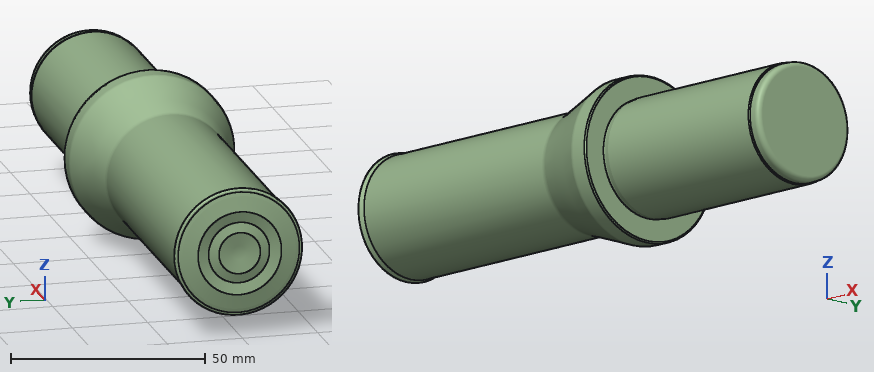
import cadquery as cq
import math

overall_length = 155.0
cutting_diameter = 34.0
body_diameter = 33.0
collar_diameter = 44.0
shank_diameter = 32.0
relief_diameter = 31.5

head_length = 3.1
outer_ridge_radius = 11.1
valley_radius = 8.1
inner_ridge_radius = 5.5
flank_angle = 11.0
facet_inner_radius = 15.1
facet_angle = 14.0
valley_angle = 14.0
centre_angle = 8.0
corner_radius = 0.7

collar_end = 95.0
collar_width = 5.3
cone_angle = 18.0
cone_foot_radius = 4.5
cone_top_radius = 3.0
collar_chamfer = 0.4
neck_width = 0.7
neck_taper = 1.4
pilot_length = 3.2
pilot_step = 0.4
pilot_end_radius = 1.4


def rise(run, angle):
    """Change in height over a run at an angle in degrees."""
    return run * math.tan(math.radians(angle))


def make_cutting_head():
    """Revolved cutting profile; its flat back seats on the tool body."""
    rim = cutting_diameter / 2
    back_radius = body_diameter / 2
    angle = math.radians(facet_angle)

    valley_x = rise(outer_ridge_radius - valley_radius, valley_angle)
    inner_ridge_x = valley_x - rise(valley_radius - inner_ridge_radius, valley_angle)
    centre_x = inner_ridge_x + rise(inner_ridge_radius, centre_angle)

    facet_x = rise(facet_inner_radius - outer_ridge_radius, flank_angle)

    arc_centre_radius = rim - corner_radius
    arc_start_radius = arc_centre_radius - corner_radius * math.sin(angle)
    arc_start_x = facet_x + rise(arc_start_radius - facet_inner_radius, facet_angle)
    arc_centre_x = arc_start_x + corner_radius * math.cos(angle)

    back_run = head_length - arc_centre_x
    back_drop = back_radius - arc_centre_radius
    side_span = math.hypot(back_run, back_drop)
    side_angle = math.atan2(back_drop, back_run) + math.acos(corner_radius / side_span)
    arc_end = (
        arc_centre_x + corner_radius * math.cos(side_angle),
        arc_centre_radius + corner_radius * math.sin(side_angle),
    )

    profile = (
        cq.Workplane("XY")
        .moveTo(head_length, 0)
        .lineTo(centre_x, 0)
        .lineTo(inner_ridge_x, inner_ridge_radius)
        .lineTo(valley_x, valley_radius)
        .lineTo(0, outer_ridge_radius)
        .lineTo(facet_x, facet_inner_radius)
        .lineTo(arc_start_x, arc_start_radius)
        .threePointArc((arc_centre_x, rim), arc_end)
        .lineTo(head_length, back_radius)
        .close()
    )
    return profile.revolve(360, (0, 0, 0), (1, 0, 0))


def make_tool_body():
    """Cylinder, cone, collar and shank in one revolved profile."""
    body_radius = body_diameter / 2
    collar_radius = collar_diameter / 2
    shank_radius = shank_diameter / 2
    relief_radius = relief_diameter / 2

    cone_slope = math.radians(cone_angle)
    cone_end = collar_end - collar_width
    cone_start = cone_end - (collar_radius - body_radius) / math.tan(cone_slope)
    neck_end = collar_end + neck_width
    shank_start = neck_end + neck_taper
    pilot_start = overall_length - pilot_length

    foot_tangent = cone_foot_radius * math.tan(cone_slope / 2)
    top_tangent = cone_top_radius * math.tan(cone_slope / 2)
    along_x = math.cos(cone_slope)
    along_r = math.sin(cone_slope)
    foot_end = (cone_start + foot_tangent * along_x, body_radius + foot_tangent * along_r)

    profile = (
        cq.Workplane("XY")
        .moveTo(head_length, 0)
        .lineTo(head_length, body_radius)
        .lineTo(cone_start - foot_tangent, body_radius)
        .tangentArcPoint(foot_end, relative=False)
        .lineTo(cone_end - top_tangent * along_x, collar_radius - top_tangent * along_r)
        .tangentArcPoint((cone_end + top_tangent, collar_radius), relative=False)
        .lineTo(collar_end - collar_chamfer, collar_radius)
        .lineTo(collar_end, collar_radius - collar_chamfer)
        .lineTo(collar_end, relief_radius)
        .lineTo(neck_end, relief_radius)
        .lineTo(shank_start, shank_radius)
        .lineTo(pilot_start - pilot_step, shank_radius)
        .lineTo(pilot_start, relief_radius)
        .lineTo(overall_length - pilot_end_radius, relief_radius)
        .tangentArcPoint((overall_length, relief_radius - pilot_end_radius), relative=False)
        .lineTo(overall_length, 0)
        .close()
    )
    return profile.revolve(360, (0, 0, 0), (1, 0, 0))


cutting_head = make_cutting_head()
tool_body = make_tool_body()

result = cq.Compound.makeCompound([cutting_head.val(), tool_body.val()])